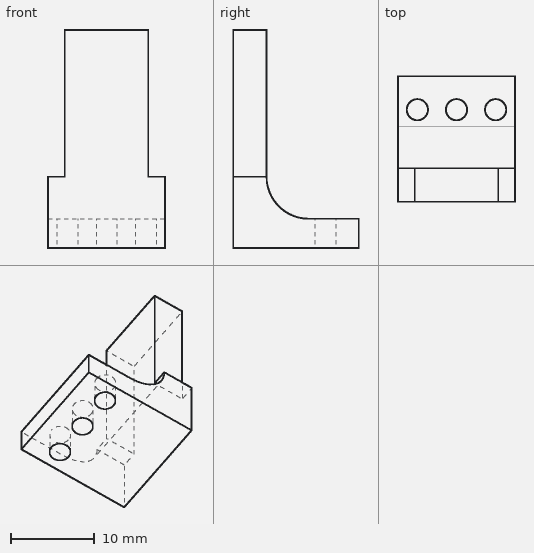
import cadquery as cq

foot_width = 14.0
foot_depth = 15.0
plate_thickness = 3.52
fillet_radius = 5.0
shoulder_height = plate_thickness + fillet_radius

blade_width = 10.0
blade_thickness = 4.0
blade_height = 17.5

hole_diameter = 2.5
hole_count = 3
hole_spacing = foot_width / hole_count
hole_row_y = 11.0


def make_foot():
    """Flat plate rising to the blade shoulder through a concave quarter round."""
    fillet_end_y = blade_thickness + fillet_radius
    profile = (
        cq.Workplane("YZ")
        .moveTo(0, 0)
        .lineTo(foot_depth, 0)
        .lineTo(foot_depth, plate_thickness)
        .lineTo(fillet_end_y, plate_thickness)
        .radiusArc((blade_thickness, shoulder_height), fillet_radius)
        .lineTo(0, shoulder_height)
        .close()
    )
    return profile.extrude(foot_width / 2, both=True)


def make_blade():
    """Rectangular blade standing centred on the shoulder."""
    return (
        cq.Workplane("XY")
        .workplane(offset=shoulder_height)
        .center(0, blade_thickness / 2)
        .rect(blade_width, blade_thickness)
        .extrude(blade_height)
    )


def make_holes():
    """Cylinders that cut the row of holes through the plate."""
    return (
        cq.Workplane("XY")
        .center(0, hole_row_y)
        .rarray(hole_spacing, 1, hole_count, 1)
        .circle(hole_diameter / 2)
        .extrude(plate_thickness)
    )


result = make_foot().union(make_blade()).cut(make_holes())